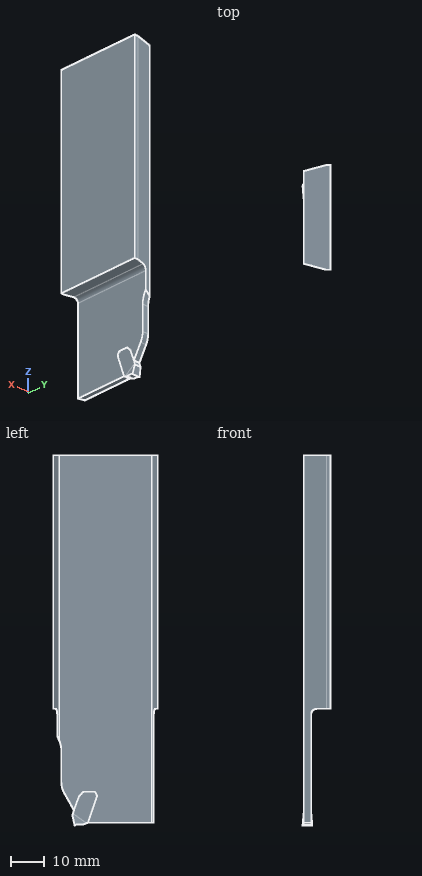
import cadquery as cq
import math

TOTAL_HEIGHT = 110.0
TOTAL_THICKNESS = 8.4
HOLDER_WIDTH = 31.1

INSERT_OVERHANG = 0.3
BLADE_THICKNESS = 2.3
TAPER_DEPTH = 6.7
TAPER_ANGLE = 15.0
TAPER_INSET = TAPER_DEPTH * math.tan(math.radians(TAPER_ANGLE))
FACE_X = INSERT_OVERHANG
TAPER_END_X = FACE_X + TAPER_DEPTH

BLADE_BACK_X = FACE_X + BLADE_THICKNESS
BLADE_BOTTOM_Z = 0.9
SHOULDER_Z = 34.6
SHOULDER_RADIUS = 1.5

RELIEF_Y = 28.7
RELIEF_TOP_Z = 22.2
RUNOUT_RADIUS = 8.2
RELIEF_BOTTOM_Z = 13.0
BEND_RADIUS = 6.6
BEND_ANGLE = math.radians(30.0)

TIP = (24.8, 0.0)
SEAT_CORNER = (20.8, BLADE_BOTTOM_Z)
FLANK_CORNER = (25.4, 3.1)
NECK_CORNER = (25.0, 4.6)
INSERT_OUTLINE = [
    TIP,
    (24.3, 0.3),
    (22.2, 0.3),
    SEAT_CORNER,
    (18.0, 8.9),
    (18.7, 10.1),
    (22.1, 10.1),
    (23.4, 8.7),
    NECK_CORNER,
    FLANK_CORNER,
]

FLARE_START = (24.9, 3.4)
FLARE_END = (21.3, BLADE_BOTTOM_Z)


def make_shank():
    """Full-height trapezoidal bar."""
    outline = [
        (FACE_X, TAPER_INSET),
        (TAPER_END_X, 0),
        (TOTAL_THICKNESS, 0),
        (TOTAL_THICKNESS, HOLDER_WIDTH),
        (TAPER_END_X, HOLDER_WIDTH),
        (FACE_X, HOLDER_WIDTH - TAPER_INSET),
    ]
    return (
        cq.Workplane("XY", origin=(0, 0, BLADE_BOTTOM_Z))
        .polyline(outline).close()
        .extrude(TOTAL_HEIGHT - BLADE_BOTTOM_Z)
    )


def make_blade_step():
    """Material behind the blade, with a rounded inner corner."""
    block = cq.Workplane("XY").box(
        TOTAL_THICKNESS, HOLDER_WIDTH, SHOULDER_Z, centered=False
    )
    return (
        block.translate((BLADE_BACK_X, 0, 0))
        .edges("<X and >Z").fillet(SHOULDER_RADIUS)
    )


def make_side_relief():
    """Material beside the blade: concave run-out, straight flank, bend and slope."""
    runout_drop = math.sqrt(RUNOUT_RADIUS**2 - (RUNOUT_RADIUS - (HOLDER_WIDTH - RELIEF_Y))**2)
    half_rise = RUNOUT_RADIUS * math.sin(math.pi / 12)
    half_shift = RUNOUT_RADIUS * (1 - math.cos(math.pi / 12))
    bend_end = (
        RELIEF_Y - BEND_RADIUS * (1 - math.cos(BEND_ANGLE)),
        RELIEF_BOTTOM_Z - BEND_RADIUS * math.sin(BEND_ANGLE),
    )
    bend_mid = (
        RELIEF_Y - BEND_RADIUS * (1 - math.cos(BEND_ANGLE / 2)),
        RELIEF_BOTTOM_Z - BEND_RADIUS * math.sin(BEND_ANGLE / 2),
    )
    return (
        cq.Workplane("YZ")
        .moveTo(HOLDER_WIDTH, RELIEF_TOP_Z + runout_drop)
        .threePointArc((RELIEF_Y + half_shift, RELIEF_TOP_Z + half_rise), (RELIEF_Y, RELIEF_TOP_Z))
        .lineTo(RELIEF_Y, RELIEF_BOTTOM_Z)
        .threePointArc(bend_mid, bend_end)
        .lineTo(*NECK_CORNER)
        .lineTo(*SEAT_CORNER)
        .lineTo(SEAT_CORNER[0], 0)
        .lineTo(HOLDER_WIDTH, 0)
        .close()
        .extrude(TOTAL_THICKNESS)
    )


def make_insert_blank():
    """Insert outline through the full flared thickness."""
    thickness = BLADE_THICKNESS + 2 * INSERT_OVERHANG
    return cq.Workplane("YZ").polyline(INSERT_OUTLINE).close().extrude(thickness)


def make_flare_envelope():
    """Prism along the flare line: flush with the blade above it, widening towards the tip."""
    along_y = FLARE_START[0] - FLARE_END[0]
    along_z = FLARE_START[1] - FLARE_END[1]
    tip_distance = (
        along_z * (TIP[0] - FLARE_END[0]) - along_y * (TIP[1] - FLARE_END[1])
    ) / math.hypot(along_y, along_z)
    plane = cq.Plane(
        origin=(0, *FLARE_END),
        xDir=(0, along_z, -along_y),
        normal=(0, along_y, along_z),
    )
    reach = 2 * tip_distance
    flare = 2 * INSERT_OVERHANG
    section = [
        (-TOTAL_HEIGHT, -FACE_X),
        (0, -FACE_X),
        (reach, -FACE_X + flare),
        (reach, -BLADE_BACK_X - flare),
        (0, -BLADE_BACK_X),
        (-TOTAL_HEIGHT, -BLADE_BACK_X),
    ]
    return cq.Workplane(plane).polyline(section).close().extrude(HOLDER_WIDTH, both=True)


def make_insert():
    return make_insert_blank().intersect(make_flare_envelope())


def make_holder():
    return (
        make_shank()
        .cut(make_blade_step())
        .cut(make_side_relief())
        .cut(make_insert_blank())
    )


holder = make_holder()
insert = make_insert()

result = cq.Compound.makeCompound([holder.solids().val(), insert.solids().val()])